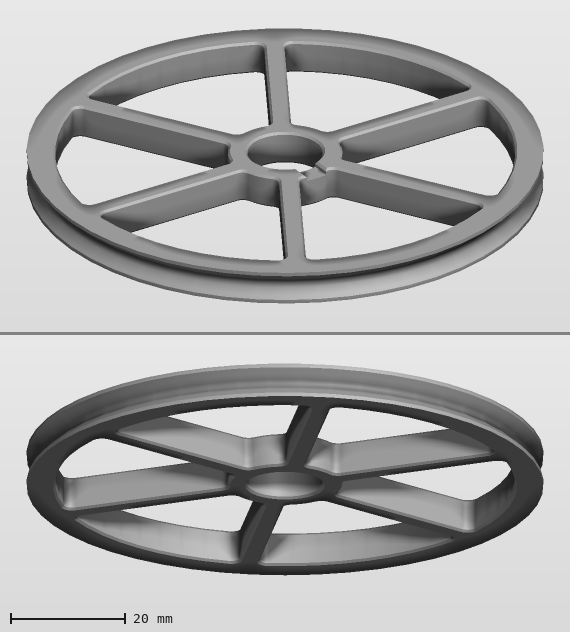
import cadquery as cq
import math

outer_radius = 45.0
thickness = 6.0
rim_inner_radius = 40.05
hub_radius = 10.0
bore_radius = 6.6
edge_chamfer = 0.4

rim_land = 0.675
flank_angle = 45
groove_bottom_radius = 1.0

spoke_count = 6
spoke_width = 3.5
spoke_offset = 0.25
pocket_corner_radius = 1.5

hub_slot_width = 4.0
hub_slot_offset = 0.3
hub_slot_depth = 1.0

half_thickness = thickness / 2
spoke_pitch = 360 / spoke_count


def polar_point(radius, side_distance, direction):
    """Point at a radius from the axis and a signed distance to the left of a spoke direction."""
    angle = math.radians(direction) + math.asin(side_distance / radius)
    return (radius * math.cos(angle), radius * math.sin(angle))


def make_wheel_blank():
    """Solid disc with the belt groove, made by revolving half of its section."""
    flank_start = half_thickness - rim_land
    flank_end = groove_bottom_radius * math.sin(math.radians(flank_angle))
    flank_end_radius = outer_radius - (flank_start - flank_end) / math.tan(math.radians(flank_angle))
    bottom_depth = groove_bottom_radius * (1 - math.cos(math.radians(flank_angle)))
    return (
        cq.Workplane("XZ")
        .moveTo(0, -half_thickness)
        .lineTo(-outer_radius, -half_thickness)
        .lineTo(-outer_radius, -flank_start)
        .lineTo(-flank_end_radius, -flank_end)
        .threePointArc((bottom_depth - flank_end_radius, 0), (-flank_end_radius, flank_end))
        .lineTo(-outer_radius, flank_start)
        .lineTo(-outer_radius, half_thickness)
        .lineTo(0, half_thickness)
        .close()
        .revolve(360, (0, 0, 0), (0, 1, 0))
    )


def make_pocket():
    """Through cutter for the gap between the spokes at -30 and +30 degrees."""
    lower_spoke = -spoke_pitch / 2
    upper_spoke = spoke_pitch / 2
    lower_side = spoke_width / 2 + spoke_offset
    upper_side = -spoke_width / 2 + spoke_offset
    return (
        cq.Workplane("XY", origin=(0, 0, -half_thickness))
        .moveTo(*polar_point(hub_radius, lower_side, lower_spoke))
        .lineTo(*polar_point(rim_inner_radius, lower_side, lower_spoke))
        .threePointArc((rim_inner_radius, 0), polar_point(rim_inner_radius, upper_side, upper_spoke))
        .lineTo(*polar_point(hub_radius, upper_side, upper_spoke))
        .threePointArc((hub_radius, 0), polar_point(hub_radius, lower_side, lower_spoke))
        .close()
        .extrude(thickness)
        .edges("|Z")
        .fillet(pocket_corner_radius)
    )


def cut_bore(wheel):
    """Cut the shaft bore through the hub."""
    return wheel.cut(cq.Workplane("XY").circle(bore_radius).extrude(half_thickness, both=True))


def cut_pockets(wheel):
    """Cut the ring of pockets that leaves the spokes standing."""
    pocket = make_pocket()
    for index in range(spoke_count):
        wheel = wheel.cut(pocket.rotate((0, 0, 0), (0, 0, 1), index * spoke_pitch))
    return wheel


def chamfer_openings(wheel):
    """Chamfer every edge of the two flat faces except the outer rim."""
    flat_faces = wheel.faces("<Z or >Z").vals()
    inner_edges = [edge for face in flat_faces for wire in face.innerWires() for edge in wire.Edges()]
    return wheel.newObject(inner_edges).chamfer(edge_chamfer)


def cut_hub_slot(wheel):
    """Cut the shallow slot from the bore out through the hub wall, with chamfered top edges."""
    slot_end = (hub_radius + rim_inner_radius) / 2
    half_width = hub_slot_width / 2
    chamfer_bottom = half_thickness - edge_chamfer
    slot = (
        cq.Workplane("YZ", origin=(0, hub_slot_offset, 0))
        .moveTo(-half_width, half_thickness - hub_slot_depth)
        .lineTo(half_width, half_thickness - hub_slot_depth)
        .lineTo(half_width, chamfer_bottom)
        .lineTo(half_width + edge_chamfer, half_thickness)
        .lineTo(-half_width - edge_chamfer, half_thickness)
        .lineTo(-half_width, chamfer_bottom)
        .close()
        .extrude(slot_end)
    )
    return wheel.cut(slot)


wheel_with_openings = cut_pockets(cut_bore(make_wheel_blank()))
result = cut_hub_slot(chamfer_openings(wheel_with_openings))